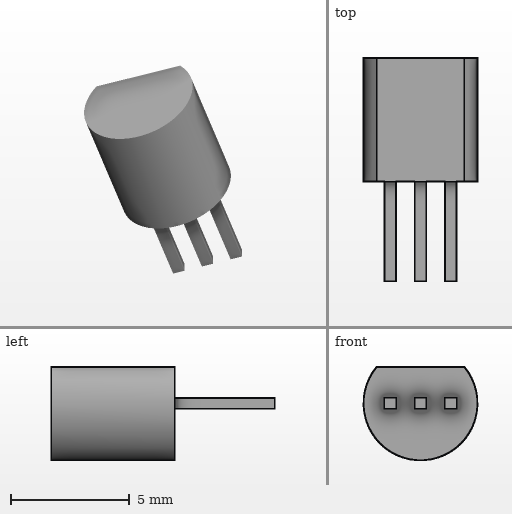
import cadquery as cq
import math

body_diameter = 4.8
body_height = 3.93
body_length = 5.2

lead_count = 3
lead_pitch = 1.27
lead_width = 0.5
lead_thickness = 0.46
lead_length = 4.2

body_radius = body_diameter / 2
flat_z = body_height - body_radius
flat_half_width = math.sqrt(body_radius**2 - flat_z**2)


def make_body():
    """D-shaped body on the Y axis, from y = 0 to y = body_length."""
    return (
        cq.Workplane("XZ")
        .moveTo(-flat_half_width, flat_z)
        .threePointArc((0, -body_radius), (flat_half_width, flat_z))
        .close()
        .extrude(-body_length)
    )


def make_lead(x):
    """One lead centred on the body axis height, reaching from the end face toward -Y."""
    return (
        cq.Workplane("XZ")
        .center(x, 0)
        .rect(lead_width, lead_thickness)
        .extrude(lead_length)
    )


result = make_body()
for index in range(lead_count):
    lead_x = (index - (lead_count - 1) / 2) * lead_pitch
    result = result.union(make_lead(lead_x))